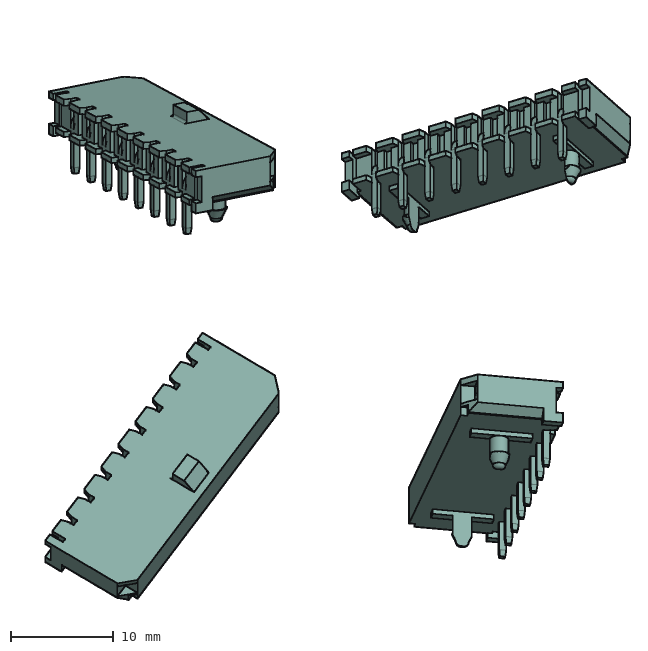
import cadquery as cq
import math


LENGTH = 27.65
DEPTH = 9.9
BASE_Z = 3.7
TOP_Z = 7.6
CORNER = 1.4
REAR_FACE_Y = 0.65
UPPER_LEDGE_Z = 6.95
LOWER_LEDGE_Z = 4.25
LOWER_BEVEL = 0.77
BEVEL_BOTTOM_Z = 3.82
BEVEL_TOP_Z = BEVEL_BOTTOM_Z + LOWER_BEVEL

LEG_WIDTH = 0.85
LEG_DEPTH = 1.94
LEG_BASE_Z = 3.2
SLOT_WIDTH = 0.41
SLOT_DEPTH = 1.52
CHANNEL_Z = 5.95
CORNER_FLOOR_Z = 4.95
UNDERCUT_DEPTH = CORNER - LOWER_BEVEL

PIN_COUNT = 8
PIN_SPAN = 21.01
PITCH = PIN_SPAN / (PIN_COUNT - 1)
PIN_WIDTH = 0.64
PIN_THICKNESS = 0.7
PIN_TIP_LENGTH = 0.7
PIN_TIP_INSET = 0.08
BEND_START_Z = 4.65
BEND_END_Z = CHANNEL_Z
NOTCH_MOUTH = 1.08

GROOVE_WIDTH = 0.75
GROOVE_DEPTH = 0.45

LATCH_WIDTH = 2.6
LATCH_REAR_Y = 6.58
LATCH_TOP_LENGTH = 1.35
LATCH_TOP_Z = 8.77
LATCH_HEIGHT = LATCH_TOP_Z - TOP_Z
LATCH_FILLET = 0.25

PEG_FLAT_INSET = 5.03
PEG_FLAT_X = LENGTH / 2 - PEG_FLAT_INSET
PEG_Y = 5.35
PEG_RADIUS = 0.95
BARB_RADIUS = 1.1
BARB_Z = 1.45
NOSE_RADIUS = 0.64
NOSE_ROUNDING = 0.45
STANDOFF_START_Y = 2.18
STANDOFF_END_Y = 8.27
STANDOFF_Z = LEG_BASE_Z

PIN_POSITIONS = [(i - (PIN_COUNT - 1) / 2) * PITCH for i in range(PIN_COUNT)]
SIDES = (-1, 1)


def block(x_range, y_range, z_range):
    """Box between two limits on each axis, given in either order."""
    spans = [sorted(r) for r in (x_range, y_range, z_range)]
    sizes = [high - low for low, high in spans]
    corner = tuple(low for low, high in spans)
    return cq.Workplane("XY").box(*sizes, centered=False).translate(corner)


def end_band(side, near, far):
    """X limits of a band measured inwards from one end of the housing."""
    return side * (LENGTH / 2 - near), side * (LENGTH / 2 - far)


def make_shell():
    """Housing block with chamfered corners and bevelled lower ends."""
    shell = block((-LENGTH / 2, LENGTH / 2), (0, DEPTH), (BASE_Z, TOP_Z))
    shell = shell.edges("|Z and >Y").chamfer(CORNER)
    for side in SIDES:
        end_x = side * LENGTH / 2
        inner_x = end_x - side * LOWER_BEVEL
        outline = [(end_x, BEVEL_TOP_Z), (inner_x, BEVEL_BOTTOM_Z), (inner_x, BASE_Z), (end_x, BASE_Z)]
        bevel = cq.Workplane("XZ", origin=(0, DEPTH, 0)).polyline(outline).close().extrude(DEPTH - LEG_DEPTH)
        shell = shell.cut(bevel)
        shell = shell.union(block(end_band(side, 0, LEG_WIDTH), (0, LEG_DEPTH), (LEG_BASE_Z, LOWER_LEDGE_Z)))
    return shell


def cut_rear_wall(housing):
    """Set the rear wall back between the ledges and add its relief grooves."""
    wall_z = (LOWER_LEDGE_Z, UPPER_LEDGE_Z)
    housing = housing.cut(block((-LENGTH / 2, LENGTH / 2), (0, REAR_FACE_Y), wall_z))
    for left_pin_x in PIN_POSITIONS[:-1]:
        middle_x = left_pin_x + PITCH / 2
        groove_x = (middle_x - GROOVE_WIDTH / 2, middle_x + GROOVE_WIDTH / 2)
        housing = housing.cut(block(groove_x, (0, REAR_FACE_Y + GROOVE_DEPTH), wall_z))
    return housing


def cut_end_openings(housing):
    """Cut the end slots, their channels and the open mating-side corners."""
    for side in SIDES:
        slot_x = end_band(side, LEG_WIDTH, LEG_WIDTH + SLOT_WIDTH)
        corner_x = end_band(side, 0, CORNER)
        housing = housing.cut(block(slot_x, (0, SLOT_DEPTH), (BASE_Z, TOP_Z)))
        housing = housing.cut(block(slot_x, (0, DEPTH), (CHANNEL_Z, UPPER_LEDGE_Z)))
        housing = housing.cut(block(corner_x, (DEPTH - CORNER, DEPTH), (CORNER_FLOOR_Z, UPPER_LEDGE_Z)))
        housing = housing.cut(block(corner_x, (DEPTH - UNDERCUT_DEPTH, DEPTH), (BASE_Z, BEVEL_TOP_Z)))
    return housing


def cut_pin_notch(housing, pin_x):
    """Cut the tapered notch in both ledges and the slot above the pin bend."""
    half_pin = PIN_WIDTH / 2
    half_mouth = NOTCH_MOUTH / 2
    outline = [(-half_mouth, 0), (half_mouth, 0), (half_pin, REAR_FACE_Y), (-half_pin, REAR_FACE_Y)]
    notch = cq.Workplane("XY", origin=(pin_x, 0, BASE_Z)).polyline(outline).close().extrude(TOP_Z - BASE_Z)
    slot_y = (REAR_FACE_Y, REAR_FACE_Y + PIN_THICKNESS)
    slot = block((pin_x - half_pin, pin_x + half_pin), slot_y, (BEND_START_Z, TOP_Z))
    return housing.cut(notch).cut(slot)


def make_pin(pin_x):
    """Square pin with a tapered tip and an outer bend curving into the housing."""
    back_y = REAR_FACE_Y + PIN_THICKNESS
    rise = BEND_END_Z - BEND_START_Z
    bend_radius = (rise**2 + PIN_THICKNESS**2) / (2 * PIN_THICKNESS)
    half_angle = math.asin(rise / bend_radius) / 2
    bend_middle = (
        REAR_FACE_Y + bend_radius * (1 - math.cos(half_angle)),
        BEND_START_Z + bend_radius * math.sin(half_angle),
    )
    shaft = (
        cq.Workplane("YZ", origin=(pin_x - PIN_WIDTH / 2, 0, 0))
        .moveTo(REAR_FACE_Y, PIN_TIP_LENGTH)
        .lineTo(REAR_FACE_Y, BEND_START_Z)
        .threePointArc(bend_middle, (back_y, BEND_END_Z))
        .lineTo(back_y, PIN_TIP_LENGTH)
        .close()
        .extrude(PIN_WIDTH)
    )
    tip = (
        cq.Workplane("XY", origin=(pin_x, REAR_FACE_Y + PIN_THICKNESS / 2, 0))
        .rect(PIN_WIDTH - 2 * PIN_TIP_INSET, PIN_THICKNESS - 2 * PIN_TIP_INSET)
        .workplane(offset=PIN_TIP_LENGTH)
        .rect(PIN_WIDTH, PIN_THICKNESS)
        .loft(ruled=True)
    )
    return shaft.union(tip)


def make_latch():
    """Ramped latch whose upright rear face blends into the housing top."""
    top_front_y = LATCH_REAR_Y + LATCH_TOP_LENGTH
    fillet_foot_y = LATCH_REAR_Y - LATCH_FILLET
    fillet_offset = LATCH_FILLET * (1 - math.sqrt(0.5))
    return (
        cq.Workplane("YZ", origin=(-LATCH_WIDTH / 2, 0, TOP_Z))
        .moveTo(fillet_foot_y, 0)
        .threePointArc((LATCH_REAR_Y - fillet_offset, fillet_offset), (LATCH_REAR_Y, LATCH_FILLET))
        .lineTo(LATCH_REAR_Y, LATCH_HEIGHT)
        .lineTo(top_front_y, LATCH_HEIGHT)
        .lineTo(top_front_y + LATCH_HEIGHT, 0)
        .close()
        .extrude(LATCH_WIDTH)
    )


def make_peg(side):
    """Half-round barbed peg below a standoff rib of the same width."""
    flat_x = side * PEG_FLAT_X
    outer_x = flat_x + side * PEG_RADIUS
    rib = block((flat_x, outer_x), (STANDOFF_START_Y, STANDOFF_END_Y), (STANDOFF_Z, BASE_Z))
    tip_radius = NOSE_RADIUS - NOSE_ROUNDING
    rounding_reach = NOSE_ROUNDING * math.sqrt(0.5)
    full_round = (
        cq.Workplane("XZ")
        .lineTo(tip_radius, 0)
        .threePointArc(
            (tip_radius + rounding_reach, NOSE_ROUNDING - rounding_reach),
            (NOSE_RADIUS, NOSE_ROUNDING),
        )
        .lineTo(BARB_RADIUS, BARB_Z)
        .lineTo(PEG_RADIUS, BARB_Z)
        .lineTo(PEG_RADIUS, STANDOFF_Z)
        .lineTo(0, STANDOFF_Z)
        .close()
        .revolve(360, (0, 0, 0), (0, 1, 0))
    )
    peg = full_round.translate((flat_x, PEG_Y, 0))
    kept_x = (flat_x, flat_x + side * BARB_RADIUS)
    kept_half = block(kept_x, (PEG_Y - PEG_RADIUS, PEG_Y + PEG_RADIUS), (0, STANDOFF_Z))
    return rib.union(peg.intersect(kept_half))


result = cut_end_openings(cut_rear_wall(make_shell()))
for x in PIN_POSITIONS:
    result = cut_pin_notch(result, x).union(make_pin(x))
result = result.union(make_latch())
for end in SIDES:
    result = result.union(make_peg(end))